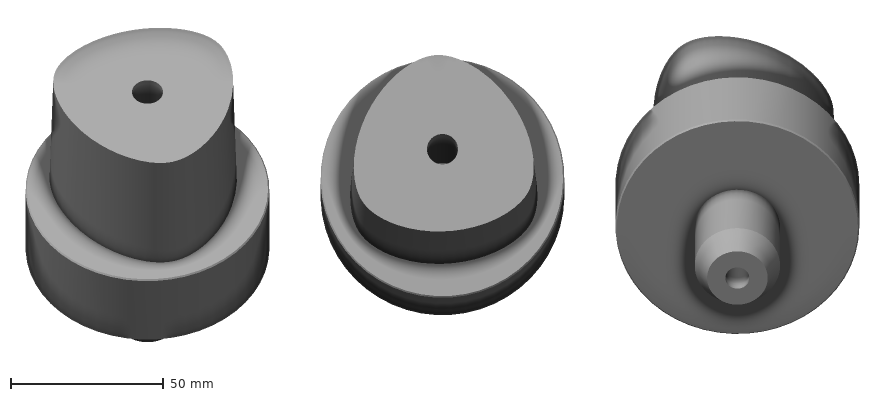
import cadquery as cq
import math

total_height = 113.0
flange_bottom = 35.0
flange_top = 65.0
cone_height = 8.5

flange_radius = 40.0
flange_chamfer = 0.5
shank_radius = 14.0
tip_radius = 10.0

lobe_base_radius = 30.7
lobe_eccentricity = 2.0
taper_slope = 1 / 40
taper_height = total_height - flange_top
lobe_top_radius = lobe_base_radius - taper_height * taper_slope
curve_points = 72

bore_radius = 4.0
counterbore_radius = 5.1
counterbore_depth = taper_height


def lobed_wire(mean_radius, height):
    """Closed three-lobed curve of constant width, with one lobe toward -X."""

    def point_at(fraction):
        angle = 2 * math.pi * fraction
        x = (
            mean_radius * math.cos(angle)
            - 2 * lobe_eccentricity * math.cos(2 * angle)
            + lobe_eccentricity * math.cos(4 * angle)
        )
        y = (
            mean_radius * math.sin(angle)
            + 2 * lobe_eccentricity * math.sin(2 * angle)
            + lobe_eccentricity * math.sin(4 * angle)
        )
        return cq.Vector(x, y, height)

    points = [point_at(i / curve_points) for i in range(curve_points)]
    return cq.Wire.assembleEdges([cq.Edge.makeSpline(points, periodic=True)])


def make_shank():
    """Cylindrical shank with a conical tip."""
    cone = cq.Solid.makeCone(tip_radius, shank_radius, cone_height)
    cylinder = (
        cq.Workplane("XY", origin=(0, 0, cone_height))
        .circle(shank_radius)
        .extrude(flange_bottom - cone_height)
    )
    return cylinder.union(cq.Workplane(cone))


def make_flange():
    """Round flange with both rims chamfered."""
    return (
        cq.Workplane("XY", origin=(0, 0, flange_bottom))
        .circle(flange_radius)
        .extrude(flange_top - flange_bottom)
        .edges("%CIRCLE")
        .chamfer(flange_chamfer)
    )


def make_taper():
    """Three-lobed taper standing on the flange."""
    base = lobed_wire(lobe_base_radius, flange_top)
    top = lobed_wire(lobe_top_radius, total_height)
    return cq.Workplane(cq.Solid.makeLoft([base, top], True))


def make_bore():
    """Through bore, widened from the top down to the flange face."""
    bore = cq.Workplane("XY").circle(bore_radius).extrude(total_height)
    counterbore = (
        cq.Workplane("XY", origin=(0, 0, total_height - counterbore_depth))
        .circle(counterbore_radius)
        .extrude(counterbore_depth)
    )
    return bore.union(counterbore)


result = make_flange().union(make_shank()).union(make_taper()).cut(make_bore())